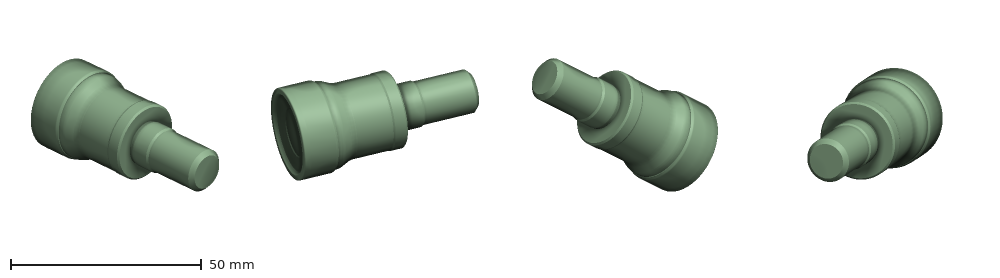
import cadquery as cq
import math


cap_length = 9.75
cap_radius = 25.0 / 2
cap_front_round = 0.35
cap_land_end = 1.9
cap_land_taper = 0.025
cap_barrel_end = 8.95
cap_chamfer_start = 9.3
cap_shoulder_drop = 0.1
cap_rear_radius = 12.1

recess_mouth_radius = 11.0
recess_lip_radius = 10.9
recess_lip_depth = 0.1
recess_wall_radius = 10.2
recess_wall_depth = 0.95
dish_outer_radius = 9.9
dish_start = 1.05
dish_depth = 1.8
dish_inner_radius = 6.65
window_radius = 6.4

head_start = 2.1
head_end = 10.7
neck_blend_end = 15.7
collar_start = 25.85
collar_ramp_end = 26.35
collar_end = 29.9
collar_chamfer = 0.45
groove_end = 30.4
seat_start = 31.15
seat_end = 35.85
pin_start = 36.45
pin_end = 51.95
pin_chamfer = 1.2

head_radius = 23.8 / 2
neck_radius = 20.6 / 2
collar_radius = 21.0 / 2
groove_radius = 6.1
seat_radius = 12.5 / 2
pin_radius = 11.75 / 2

cone_angle = math.radians(25)
head_arc_length = 1.25
neck_arc_length = 1.7


def revolve_about_x(profile):
    return profile.close().revolve(360, (0, 0, 0), (1, 0, 0))


def make_cap():
    """Cup with a dished front recess and a socket for the shank head."""
    land_radius = cap_radius - cap_land_taper
    round_middle = cap_front_round * (1 - math.sqrt(0.5))
    shoulder_middle = (cap_barrel_end + cap_chamfer_start) / 2
    profile = (
        cq.Workplane("XY")
        .moveTo(0, recess_mouth_radius)
        .lineTo(0, land_radius - cap_front_round)
        .threePointArc((round_middle, land_radius - round_middle), (cap_front_round, land_radius))
        .lineTo(cap_land_end, cap_radius)
        .lineTo(cap_barrel_end, cap_radius)
        .threePointArc(
            (shoulder_middle, cap_radius - cap_shoulder_drop / 4),
            (cap_chamfer_start, cap_radius - cap_shoulder_drop),
        )
        .lineTo(cap_length, cap_rear_radius)
        .lineTo(cap_length, head_radius)
        .lineTo(head_start, head_radius)
        .lineTo(head_start, window_radius)
        .lineTo(dish_depth, dish_inner_radius)
        .lineTo(dish_start, dish_outer_radius)
        .lineTo(recess_wall_depth, recess_wall_radius)
        .lineTo(recess_lip_depth, recess_lip_radius)
    )
    return revolve_about_x(profile)


def make_shank():
    """Stepped solid shank with a wide head, a neck, a collar and a pin."""
    half_angle = cone_angle / 2
    cone_start = head_end + head_arc_length
    cone_end = neck_blend_end - neck_arc_length
    cone_start_radius = head_radius - head_arc_length * math.tan(half_angle)
    cone_end_radius = neck_radius + neck_arc_length * math.tan(half_angle)
    profile = (
        cq.Workplane("XY")
        .moveTo(head_start, 0)
        .lineTo(head_start, head_radius)
        .lineTo(head_end, head_radius)
        .tangentArcPoint((cone_start, cone_start_radius), relative=False)
        .lineTo(cone_end, cone_end_radius)
        .tangentArcPoint((neck_blend_end, neck_radius), relative=False)
        .lineTo(collar_start, neck_radius)
        .lineTo(collar_ramp_end, collar_radius)
        .lineTo(collar_end - collar_chamfer, collar_radius)
        .lineTo(collar_end, collar_radius - collar_chamfer)
        .lineTo(collar_end, groove_radius)
        .lineTo(groove_end, groove_radius)
        .lineTo(seat_start, seat_radius)
        .lineTo(seat_end, seat_radius)
        .lineTo(pin_start, pin_radius)
        .lineTo(pin_end - pin_chamfer, pin_radius)
        .lineTo(pin_end, pin_radius - pin_chamfer)
        .lineTo(pin_end, 0)
    )
    return revolve_about_x(profile)


cap = make_cap()
shank = make_shank()

result = cq.Compound.makeCompound([cap.val(), shank.val()])